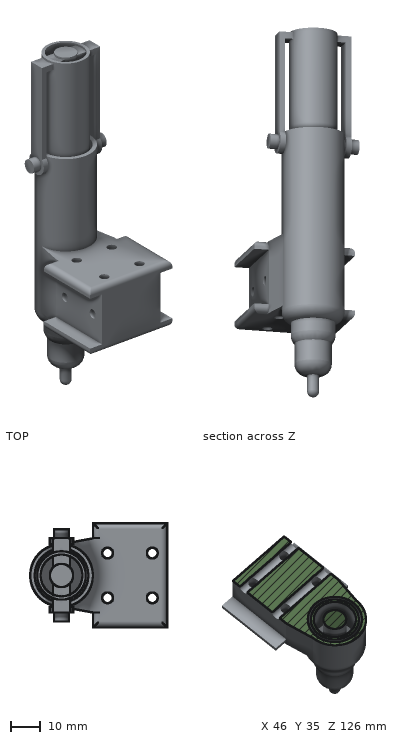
import cadquery as cq


housing_dia = 21.0
housing_bore_dia = 18.0
housing_bottom = 25.5
housing_top = 91.0
housing_round = 4.0
wall = (housing_dia - housing_bore_dia) / 2
bore_round = housing_round - wall

bracket_length = 25.0
bracket_height = 25.0
bracket_bottom = 31.0
bracket_top = bracket_bottom + bracket_height
bracket_start = housing_dia / 2
bracket_center_x = bracket_start + bracket_length / 2
bracket_center_z = bracket_bottom + bracket_height / 2
web_width = 25.0
flange_width = 35.0
flange_thickness = 3.0
flange_round = 2.0
hole_pitch = 15.0
upright_hole_dia = 3.5
cross_hole_dia = 3.3
hole_center_x = 22.9

sleeve_dia = 16.3
sleeve_bore_dia = 14.0
sleeve_top = 126.0
sleeve_shoulder = housing_bottom + housing_round
sleeve_floor = sleeve_shoulder + wall
neck_dia = 15.0
neck_bottom = 17.3
neck_round = 4.0
nose_dia = 12.6
nose_bottom = 7.4
nose_round = 4.0

rod_dia = 7.8
rod_top = sleeve_top
tip_dia = 4.0
arm_width = 5.8
arm_top = 125.2
arm_outer_y = 12.5
arm_inner_y = housing_dia / 2
bar_thickness = 2.3
hub_dia = 8.0

pin_dia = 5.0
pin_height = 87.7
pin_outer_y = 15.5
pin_inner_y = housing_bore_dia / 2


def cylinder(dia, bottom, top):
    return cq.Workplane("XY").workplane(offset=bottom).circle(dia / 2).extrude(top - bottom)


def side_cylinder(dia, inner_y, outer_y, side):
    """Cylinder along Y at the pin height, on the +Y (side=1) or -Y (side=-1) side."""
    base = cq.Workplane("XZ", origin=(0, side * inner_y, pin_height))
    return base.circle(dia / 2).extrude(-side * (outer_y - inner_y))


def make_flange(bottom, rounded_face):
    flange = cq.Workplane("XY").box(
        bracket_length, flange_width, flange_thickness, centered=(True, True, False)
    )
    flange = flange.faces(rounded_face).edges().fillet(flange_round)
    return flange.translate((bracket_center_x, 0, bottom))


def make_bracket():
    web = cq.Workplane("XY").box(bracket_length, web_width, bracket_height - 2 * flange_thickness)
    web = web.translate((bracket_center_x, 0, bracket_center_z))

    neck_end = bracket_start + flange_round
    neck = (
        cq.Workplane("XY")
        .workplane(offset=bracket_bottom)
        .moveTo(0, -housing_dia / 2)
        .lineTo(bracket_start, -web_width / 2)
        .lineTo(neck_end, -web_width / 2)
        .lineTo(neck_end, web_width / 2)
        .lineTo(bracket_start, web_width / 2)
        .lineTo(0, housing_dia / 2)
        .close()
        .extrude(bracket_height)
    )
    bracket = web.union(neck)
    bracket = bracket.union(make_flange(bracket_top - flange_thickness, ">Z"))
    bracket = bracket.union(make_flange(bracket_bottom, "<Z"))

    upright_holes = (
        cq.Workplane("XY", origin=(hole_center_x, 0, bracket_bottom))
        .rarray(hole_pitch, hole_pitch, 2, 2)
        .circle(upright_hole_dia / 2)
        .extrude(bracket_height)
    )
    cross_holes = (
        cq.Workplane("XZ", origin=(hole_center_x, 0, bracket_center_z))
        .rarray(hole_pitch, 1.3, 2, 1)
        .circle(cross_hole_dia / 2)
        .extrude(web_width / 2, both=True)
    )
    return bracket.cut(upright_holes).cut(cross_holes)


def make_housing():
    barrel = cylinder(housing_dia, housing_bottom, housing_top).faces("<Z").edges().fillet(housing_round)
    bore = cylinder(housing_bore_dia, housing_bottom + wall, housing_top).faces("<Z").edges().fillet(bore_round)
    housing = barrel.union(make_bracket()).cut(bore)
    housing = housing.cut(cylinder(neck_dia, housing_bottom, housing_top))
    for side in (1, -1):
        housing = housing.cut(side_cylinder(pin_dia, 0, arm_inner_y, side))
    return housing


def make_crossbar():
    bar = cq.Workplane("XY").box(arm_width, 2 * arm_outer_y, bar_thickness)
    return bar.translate((0, 0, arm_top - bar_thickness / 2))


def make_sleeve():
    upper = cylinder(sleeve_dia, sleeve_shoulder, sleeve_top)
    neck = cylinder(neck_dia, neck_bottom, sleeve_shoulder).faces("<Z").edges().fillet(neck_round)
    nose = cylinder(nose_dia, nose_bottom, sleeve_shoulder).faces("<Z").edges().fillet(nose_round)
    sleeve = upper.union(neck).union(nose)
    sleeve = sleeve.cut(cylinder(sleeve_bore_dia, sleeve_floor, sleeve_top))
    sleeve = sleeve.cut(cylinder(tip_dia, nose_bottom, sleeve_floor))
    return sleeve.cut(make_crossbar())


def make_arm(side):
    thickness = arm_outer_y - arm_inner_y
    length = arm_top - pin_height
    arm = cq.Workplane("XY").box(arm_width, thickness, length)
    arm = arm.translate((0, side * (arm_inner_y + arm_outer_y) / 2, pin_height + length / 2))
    arm = arm.union(side_cylinder(hub_dia, arm_inner_y, arm_outer_y, side))
    return arm.cut(side_cylinder(pin_dia, arm_inner_y, arm_outer_y, side))


def make_plunger():
    tip_radius = tip_dia / 2
    ball = cq.Workplane("XY").sphere(tip_radius).translate((0, 0, tip_radius))
    tip = cylinder(tip_dia, tip_radius, sleeve_floor).union(ball)
    plunger = tip.union(cylinder(rod_dia, sleeve_floor, rod_top)).union(make_crossbar())
    for side in (1, -1):
        plunger = plunger.union(make_arm(side))
    return plunger


def make_pin(side):
    return side_cylinder(pin_dia, pin_inner_y, pin_outer_y, side)


housing = make_housing()
sleeve = make_sleeve()
plunger = make_plunger()
pins = [make_pin(side) for side in (1, -1)]

bodies = [housing, sleeve, plunger, *pins]
result = cq.Compound.makeCompound([body.solids().val() for body in bodies])